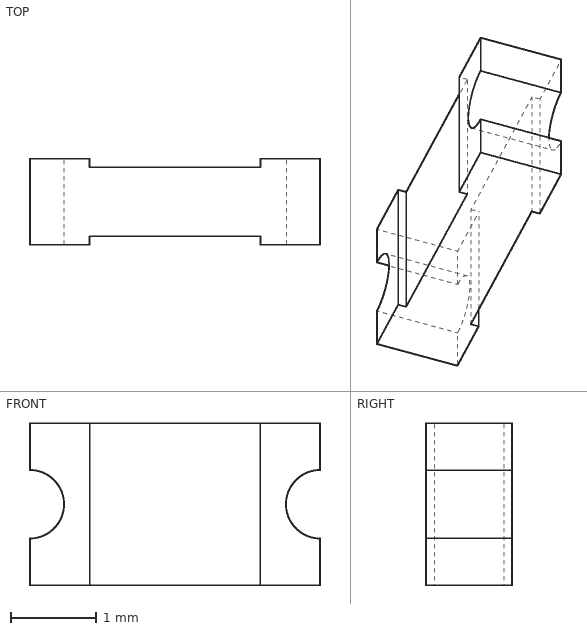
import cadquery as cq

length = 3.4
height = 1.9
terminal_length = 0.7
terminal_step = 0.1
body_thickness = 0.81
notch_radius = 0.4

terminal_thickness = body_thickness + 2 * terminal_step
body_length = length - 2 * terminal_length


def make_body():
    """Thin block between the two terminals."""
    return cq.Workplane("XY").box(body_length, body_thickness, height)


def make_terminal(side):
    """Thicker end block; side is -1 for the -X end and +1 for the +X end."""
    center_x = side * (length - terminal_length) / 2
    block = cq.Workplane("XY").box(terminal_length, terminal_thickness, height)
    block = block.translate((center_x, 0, 0))
    notch = (
        cq.Workplane("XZ")
        .center(side * length / 2, 0)
        .circle(notch_radius)
        .extrude(terminal_thickness / 2, both=True)
    )
    return block.cut(notch)


result = make_body()
for end in (-1, 1):
    result = result.union(make_terminal(end))